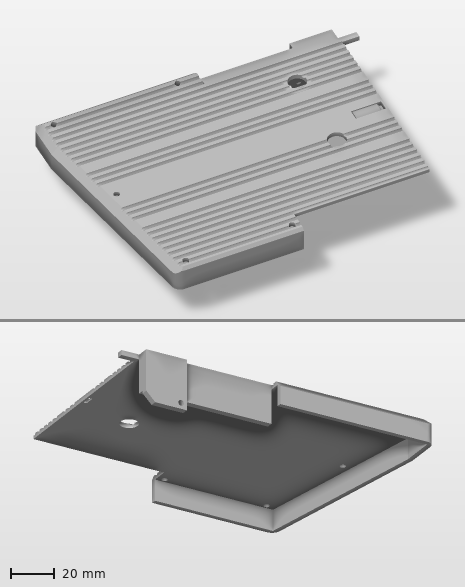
import cadquery as cq
import math

width = 117.5
wide_length = 81.7
back_y = 150.9
overall_length = 159.3
plate_thickness = 2.4
skirt_thickness = 2.5
skirt_height = 13.2

kink_x = 20.2
slant_rise = (width - kink_x) * math.tan(math.radians(10))
left_corner_radius = 3.8
right_corner_radius = 4.6
main_chamfer = 3.8
right_chamfer = 1.5

narrow_left = 8.1
narrow_right = 106.7
wall_thickness = 3.2
wall_height = 19.9
wall_back_y = 149.9
ear_left = 4.8
ear_front_y = 128.4
ear_height = 26.0
ear_chamfer = 4.8
ear_hole_diameter = 2.9
ear_hole_y = 131.5
ear_hole_depth = 23.0
tab_width = 3.2
tab_thickness = 2.5
tab_left = 11.2

groove_radius = 0.99
groove_pitch = 4.0
first_groove_x = 7.0
last_groove_x = 113.9
groove_mirror_x = (first_groove_x + last_groove_x) / 2
groove_steps = [0, 1, 2, 3, 4, 5, 6, 7, 9, 10, 11]
short_groove_count = 2

large_hole_diameter = 9.1
large_hole_y = 120.7
large_hole_xs = [29.0, 71.0]
small_hole_diameter = 3.0
small_hole_points = [(60.0, 14.0), (113.0, 77.9), (113.0, 23.9)]
diamond_hole_diagonal = 3.2
diamond_hole_points = [(5.9, 70.9), (5.9, 8.0)]

recess_left = 57.3
recess_width = 5.3
recess_front_y = 134.5
recess_back_y = 149.7
recess_depth = 0.6
recess_step = 0.6
window_length = 1.6


def box(x0, x1, y0, y1, z0, z1):
    """Axis-aligned box between two opposite corners."""
    return cq.Workplane("XY").box(x1 - x0, y1 - y0, z1 - z0, centered=False).translate((x0, y0, z0))


def wide_outline(rear_y):
    """Sharp-cornered outline of the wide portion, closed at rear_y."""
    points = [(0, 0), (kink_x, 0), (width, slant_rise), (width, rear_y), (0, rear_y)]
    return cq.Workplane("XY").workplane(offset=-skirt_height).polyline(points).close()


def edge_cutter(start, end, size):
    """Wedge that chamfers the top edge from start to end; the solid lies to the left of the edge."""
    length = math.dist(start, end)
    along = cq.Vector(end[0] - start[0], end[1] - start[1], 0)
    plane = cq.Plane(origin=(start[0], start[1], 0), xDir=(-along.y, along.x, 0), normal=along.toTuple())
    reach = 2 * size
    wedge = [(size + reach, reach), (-reach, -size - reach), (-reach, reach)]
    overrun = main_chamfer
    return cq.Workplane(plane).workplane(offset=-overrun).polyline(wedge).close().extrude(length + 2 * overrun)


def wide_shell():
    """Wide portion: chamfered top, rounded front corners, hollow below and open at the back."""
    shell = wide_outline(wide_length).extrude(skirt_height)
    for x, y, radius in [(0, 0, left_corner_radius), (width, slant_rise, right_corner_radius)]:
        corner = cq.selectors.NearestToPointSelector((x, y, -skirt_height / 2))
        shell = shell.edges(corner).fillet(radius)

    left_front = (0, 0)
    kink = (kink_x, 0)
    right_front = (width, slant_rise)
    shell = shell.cut(edge_cutter((0, wide_length), left_front, main_chamfer))
    shell = shell.cut(edge_cutter(left_front, kink, main_chamfer))
    shell = shell.cut(edge_cutter(kink, right_front, main_chamfer))
    shell = shell.cut(edge_cutter(right_front, (width, wide_length), right_chamfer))

    open_rear_y = wide_length + 2 * skirt_thickness
    cavity = wide_outline(open_rear_y).offset2D(-skirt_thickness).extrude(skirt_height - plate_thickness)
    return shell.cut(cavity)


def ear():
    """Hanging plate outside the side wall, with a cut lower back corner and a pin hole."""
    plate = box(ear_left, narrow_left, ear_front_y, wall_back_y, -ear_height, 0)
    plate = plate.edges("|X and >Y and <Z").chamfer(ear_chamfer)
    hole = (
        cq.Workplane("YZ", origin=(ear_left, ear_hole_y, -ear_hole_depth))
        .circle(ear_hole_diameter / 2)
        .extrude(narrow_left - ear_left)
    )
    return plate.cut(hole)


def narrow_portion():
    """Narrow top plate with its hanging side wall, the ear and the back tab."""
    wall_right = narrow_left + wall_thickness
    tab_right = tab_left + tab_width
    plate = box(tab_left, narrow_right, wide_length, back_y, -plate_thickness, 0)
    wall = box(narrow_left, wall_right, wide_length, wall_back_y, -wall_height, 0)
    tab = box(tab_left, tab_right, wall_back_y, overall_length, -tab_thickness, 0)
    return plate.union(wall).union(ear()).union(tab)


def grooves():
    """All grip grooves as one cutter of parallel cylinders."""
    lefts = [first_groove_x + step * groove_pitch for step in groove_steps]
    rights = [2 * groove_mirror_x - x for x in lefts]
    short = lefts[:short_groove_count]
    long = lefts[short_groove_count:] + rights

    def cylinders(xs, length):
        centers = [(x, 0) for x in xs]
        return cq.Workplane("XZ").pushPoints(centers).circle(groove_radius).extrude(-length)

    return cylinders(short, wide_length).union(cylinders(long, back_y))


def plate_holes():
    """Round and diamond-shaped holes through the plate."""
    base = cq.Workplane("XY").workplane(offset=-plate_thickness)
    large_points = [(x, large_hole_y) for x in large_hole_xs]
    large = base.pushPoints(large_points).circle(large_hole_diameter / 2).extrude(plate_thickness)
    small = base.pushPoints(small_hole_points).circle(small_hole_diameter / 2).extrude(plate_thickness)
    diamonds = base.pushPoints(diamond_hole_points).polygon(4, diamond_hole_diagonal).extrude(plate_thickness)
    return large.union(small).union(diamonds)


def latch_recess():
    """Shallow recess with a deeper step at each end and a through window at the back."""
    right = recess_left + recess_width
    window_front_y = recess_back_y - window_length
    step_z = -recess_depth - recess_step
    floor = box(recess_left, right, recess_front_y, recess_back_y, -recess_depth, 0)
    front_step = box(recess_left, right, recess_front_y, recess_front_y + recess_step, step_z, 0)
    back_step = box(recess_left, right, window_front_y - recess_step, window_front_y, step_z, 0)
    window = box(recess_left, right, window_front_y, recess_back_y, -plate_thickness, 0)
    return floor.union(front_step).union(back_step).union(window)


cover = wide_shell().union(narrow_portion())
result = cover.cut(grooves()).cut(plate_holes()).cut(latch_recess())